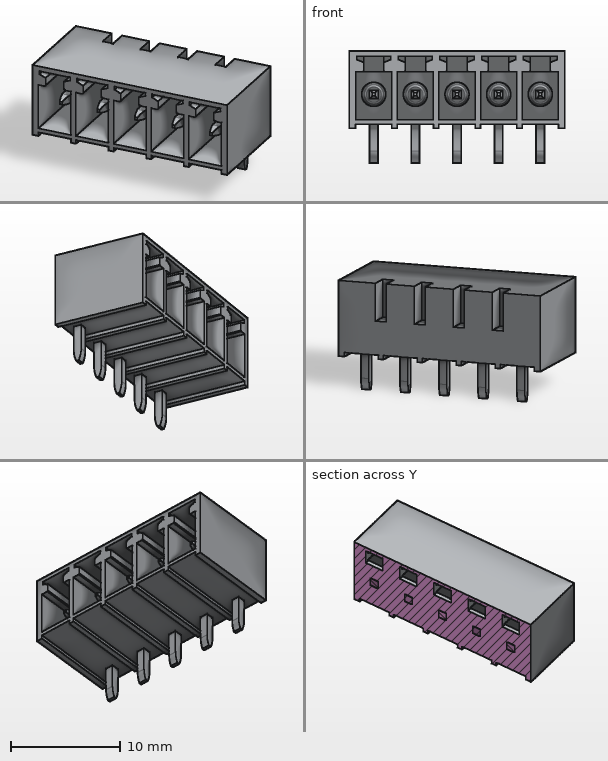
import cadquery as cq
import math


PIN_COUNT = 5
PITCH = 3.8
PIN_X = [(i - (PIN_COUNT - 1) / 2) * PITCH for i in range(PIN_COUNT)]

LENGTH = 19.74
DEPTH = 9.2
HEIGHT = 7.09

CAVITY_WIDTH = 3.3
CAVITY_FLOOR = 0.79
CAVITY_DEPTH = 6.51
TAB_BOTTOM = 5.2
NECK_WIDTH = 1.85
TAB_TOP = 6.05
WING_WIDTH = 3.12
WING_BOTTOM = 6.3
CEILING = 6.61
TAB_CHAMFER = 0.08
NECK_RECESS = 0.79

BOSS_BASE_RADIUS = 1.1
BOSS_TOP_RADIUS = 0.7
BOSS_HEIGHT = 0.93
BOSS_SHOULDER_RADIUS = 0.89
BOSS_SHOULDER_HEIGHT = 0.73

CHANNEL_HEIGHT = 0.38
SLOT_WIDTH = 1.05
SLOT_LENGTH = 1.91
SLOT_DEPTH = HEIGHT / 2

PIN_SIZE = 0.79
PIN_Z = 3.12
PIN_FRONT = 1.32
LEG_Y = 7.9
LEG_BOTTOM = -3.18
TIP_LENGTH = 1.13
TIP_SIZE = 0.28


def box(x_range, y_range, z_range):
    """Axis-aligned box between the given limits."""
    size = [high - low for low, high in (x_range, y_range, z_range)]
    return cq.Workplane("XY").box(*size, centered=False).translate((x_range[0], y_range[0], z_range[0]))


def span(center, width):
    """Limits of a width centred on a place."""
    return (center - width / 2, center + width / 2)


def make_cavity(x):
    """Plug opening with two coding tabs, plus the recess in its back wall."""
    right_side = [
        (CAVITY_WIDTH / 2, CAVITY_FLOOR),
        (CAVITY_WIDTH / 2, TAB_BOTTOM),
        (NECK_WIDTH / 2 + TAB_CHAMFER, TAB_BOTTOM),
        (NECK_WIDTH / 2, TAB_BOTTOM + TAB_CHAMFER),
        (NECK_WIDTH / 2, TAB_TOP),
        (WING_WIDTH / 2, WING_BOTTOM),
        (WING_WIDTH / 2, CEILING),
    ]
    left_side = [(-across, z) for across, z in reversed(right_side)]
    opening = cq.Workplane("XZ").polyline(right_side + left_side).close().extrude(-CAVITY_DEPTH)
    recess = box(span(0, NECK_WIDTH), (0, CAVITY_DEPTH + NECK_RECESS), (TAB_BOTTOM, CEILING))
    return opening.union(recess).translate((x, 0, 0))


def make_boss(x):
    """Tapered boss with a rounded shoulder, standing on the cavity back wall."""
    edge_radius = BOSS_SHOULDER_RADIUS - BOSS_TOP_RADIUS
    edge_height = BOSS_HEIGHT - BOSS_SHOULDER_HEIGHT
    diagonal = math.cos(math.pi / 4)
    edge_middle = (
        BOSS_TOP_RADIUS + edge_radius * diagonal,
        BOSS_SHOULDER_HEIGHT + edge_height * diagonal,
    )
    profile = (
        cq.Workplane("XY")
        .lineTo(BOSS_BASE_RADIUS, 0)
        .lineTo(BOSS_SHOULDER_RADIUS, BOSS_SHOULDER_HEIGHT)
        .threePointArc(edge_middle, (BOSS_TOP_RADIUS, BOSS_HEIGHT))
        .lineTo(0, BOSS_HEIGHT)
        .close()
    )
    boss = profile.revolve(360, (0, 0), (0, 1))
    return boss.rotate((0, 0, 0), (0, 0, 1), 180).translate((x, CAVITY_DEPTH, PIN_Z))


def make_bar(length):
    """Square bar along +Z from Z = 0, whose lower end narrows in Y along two arcs.

    Each arc starts tangent to the side of the bar.
    """
    half = PIN_SIZE / 2
    tip_half = TIP_SIZE / 2
    inset = half - tip_half
    radius = (TIP_LENGTH ** 2 + inset ** 2) / (2 * inset)
    half_angle = math.asin(TIP_LENGTH / radius) / 2
    middle_y = half - radius * (1 - math.cos(half_angle))
    middle_z = TIP_LENGTH - radius * math.sin(half_angle)
    return (
        cq.Workplane("YZ")
        .moveTo(tip_half, 0)
        .threePointArc((middle_y, middle_z), (half, TIP_LENGTH))
        .lineTo(half, length)
        .lineTo(-half, length)
        .lineTo(-half, TIP_LENGTH)
        .threePointArc((-middle_y, middle_z), (-tip_half, 0))
        .close()
        .extrude(half, both=True)
    )


def make_pin(x):
    """Right-angle square pin whose arm also has flat tapers on its two X sides."""
    half = PIN_SIZE / 2
    tip_half = TIP_SIZE / 2
    arm_length = LEG_Y + half - PIN_FRONT
    taper = (
        cq.Workplane("XZ")
        .polyline([
            (tip_half, 0),
            (half, TIP_LENGTH),
            (half, arm_length),
            (-half, arm_length),
            (-half, TIP_LENGTH),
            (-tip_half, 0),
        ])
        .close()
        .extrude(half, both=True)
    )
    arm = make_bar(arm_length).intersect(taper)
    arm = arm.rotate((0, 0, 0), (1, 0, 0), -90).translate((x, PIN_FRONT, PIN_Z))
    leg = make_bar(PIN_Z - LEG_BOTTOM).translate((x, LEG_Y, LEG_BOTTOM))
    return arm.union(leg)


def make_housing(pins):
    """Moulded block with cavities, bosses, channels, slots and close-fitting pin holes."""
    housing = box(span(0, LENGTH), (0, DEPTH), (0, HEIGHT))
    for x in PIN_X:
        channel = box(span(x, CAVITY_WIDTH), (0, DEPTH), (0, CHANNEL_HEIGHT))
        housing = housing.cut(make_cavity(x)).cut(channel).union(make_boss(x))
    for x in PIN_X[:-1]:
        slot = box(
            span(x + PITCH / 2, SLOT_WIDTH),
            (DEPTH - SLOT_LENGTH, DEPTH),
            (HEIGHT - SLOT_DEPTH, HEIGHT),
        )
        housing = housing.cut(slot)
    for pin in pins:
        housing = housing.cut(pin)
    return housing


pins = [make_pin(x) for x in PIN_X]
housing = make_housing(pins)
result = cq.Compound.makeCompound([housing.val(), *[pin.val() for pin in pins]])